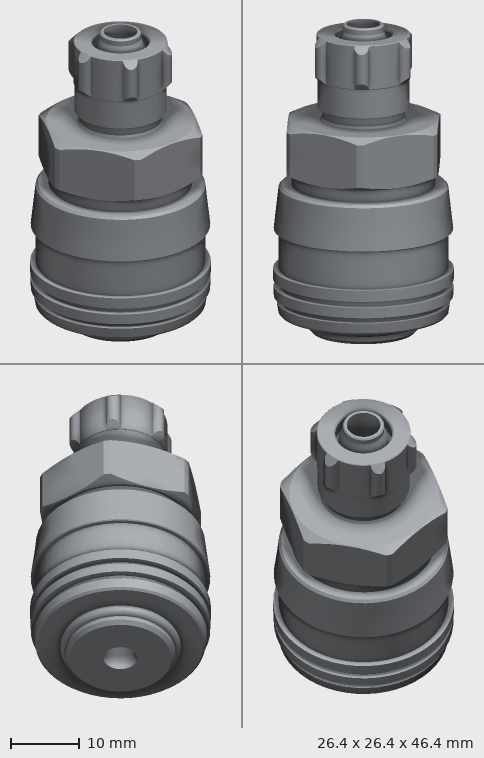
import cadquery as cq

total_height = 46.4
bore_diameter = 4.9

spigot_diameter = 16.0
spigot_bevel = 0.55
bead_diameter = 17.6
bead_bottom = 1.25
bead_widest = 2.0
bead_top_radius = 8.7

body_bottom = 2.7
bottom_ring_bevel = 0.32
bottom_ring_lower_radius = 12.45
bottom_ring_upper_radius = 12.65
bottom_ring_top = 4.5
lower_groove_bottom_radius = 11.95
lower_groove_top_radius = 12.15
middle_ring_bottom = 5.45
middle_ring_top = 6.95
middle_ring_diameter = 26.2
upper_groove_diameter = 24.6
top_ring_bottom = 7.95
top_ring_top = 9.6
top_ring_diameter = 26.4
body_diameter = 24.8

sleeve_bottom = 15.35
sleeve_top = 22.23
sleeve_base_diameter = 26.2
sleeve_shoulder_radius = 12.4
sleeve_top_bevel = 0.35
sleeve_bottom_bevel = 0.15

lower_neck_diameter = 21.0
hex_bottom = 24.15
hex_top = 32.15
hex_across_flats = 22.0
hex_corner_diameter = 24.82
hex_face_diameter = 21.7
hex_bevel_height = 0.8
upper_neck_diameter = 12.0
neck_flare = 0.32

collar_bottom = 33.9
collar_diameter = 13.4
nut_bottom = 38.25
nut_top = 44.9
nut_diameter = 13.7
nut_bevel = 0.1
rib_count = 6
rib_radius = 1.05
rib_outer_radius = 7.9
rib_bevel = 1.1
nut_bore_diameter = 8.3
nut_bore_bevel = 0.25
recess_floor = 42.7

nozzle_radius = 3.0
nozzle_tip_bevel = 0.2
nozzle_cone_top = 45.43
nozzle_cone_bottom = 43.85
nozzle_base_diameter = 7.3


def cylinder(diameter, bottom, top):
    return cq.Workplane("XY").workplane(offset=bottom).circle(diameter / 2).extrude(top - bottom)


def revolved(profile):
    """Close a half profile drawn in (radius, height) and turn it about Z."""
    return profile.close().revolve(360, (0, 0, 0), (0, 1, 0))


def lower_end():
    radius = spigot_diameter / 2
    profile = (
        cq.Workplane("XZ")
        .lineTo(radius - spigot_bevel, 0)
        .lineTo(radius, spigot_bevel)
        .lineTo(radius, bead_bottom)
        .threePointArc((bead_diameter / 2, bead_widest), (bead_top_radius, body_bottom))
        .lineTo(0, body_bottom)
    )
    return revolved(profile)


def gripping_body():
    bottom_ring = (
        cq.Workplane("XZ")
        .moveTo(0, body_bottom)
        .lineTo(bottom_ring_lower_radius - bottom_ring_bevel, body_bottom)
        .lineTo(bottom_ring_lower_radius, body_bottom + bottom_ring_bevel)
        .lineTo(bottom_ring_upper_radius, bottom_ring_top)
        .lineTo(lower_groove_bottom_radius, bottom_ring_top)
        .lineTo(lower_groove_top_radius, middle_ring_bottom)
        .lineTo(0, middle_ring_bottom)
    )
    body = revolved(bottom_ring)
    body = body.union(cylinder(middle_ring_diameter, middle_ring_bottom, middle_ring_top))
    body = body.union(cylinder(upper_groove_diameter, middle_ring_top, top_ring_bottom))
    body = body.union(cylinder(top_ring_diameter, top_ring_bottom, top_ring_top))
    return body.union(cylinder(body_diameter, top_ring_top, sleeve_bottom))


def sleeve():
    base_radius = sleeve_base_diameter / 2
    profile = (
        cq.Workplane("XZ")
        .moveTo(0, sleeve_bottom)
        .lineTo(base_radius - sleeve_bottom_bevel, sleeve_bottom)
        .lineTo(base_radius, sleeve_bottom + sleeve_bottom_bevel)
        .lineTo(sleeve_shoulder_radius, sleeve_top - sleeve_top_bevel)
        .lineTo(sleeve_shoulder_radius - sleeve_top_bevel, sleeve_top)
        .lineTo(0, sleeve_top)
    )
    return revolved(profile)


def hexagon():
    """Hexagon with flats facing +X and -X, and corners turned and bevelled."""
    prism = (
        cq.Workplane("XY")
        .workplane(offset=hex_bottom)
        .polygon(6, hex_across_flats, circumscribed=True)
        .extrude(hex_top - hex_bottom)
    )
    face_radius = hex_face_diameter / 2
    corner_radius = hex_corner_diameter / 2
    envelope = (
        cq.Workplane("XZ")
        .moveTo(0, hex_bottom)
        .lineTo(face_radius, hex_bottom)
        .lineTo(corner_radius, hex_bottom + hex_bevel_height)
        .lineTo(corner_radius, hex_top - hex_bevel_height)
        .lineTo(face_radius, hex_top)
        .lineTo(0, hex_top)
    )
    return prism.intersect(revolved(envelope))


def upper_neck():
    radius = upper_neck_diameter / 2
    profile = (
        cq.Workplane("XZ")
        .moveTo(0, hex_top)
        .lineTo(radius + neck_flare, hex_top)
        .lineTo(radius, hex_top + neck_flare)
        .lineTo(radius, collar_bottom)
        .lineTo(0, collar_bottom)
    )
    return revolved(profile)


def nut():
    body = cylinder(nut_diameter, nut_bottom, nut_top).edges().chamfer(nut_bevel)
    ribs = (
        cq.Workplane("XY")
        .workplane(offset=nut_bottom)
        .polarArray(rib_outer_radius - rib_radius, 90, 360, rib_count)
        .circle(rib_radius)
        .extrude(nut_top - nut_bottom)
    )
    rib_envelope = cylinder(2 * rib_outer_radius, nut_bottom, nut_top).edges().chamfer(rib_bevel)
    body = body.union(ribs.intersect(rib_envelope))
    body = body.union(cylinder(collar_diameter, collar_bottom, nut_bottom))

    bore_radius = nut_bore_diameter / 2
    recess = (
        cq.Workplane("XZ")
        .moveTo(0, recess_floor)
        .lineTo(bore_radius, recess_floor)
        .lineTo(bore_radius, nut_top - nut_bore_bevel)
        .lineTo(bore_radius + nut_bore_bevel, nut_top)
        .lineTo(0, nut_top)
    )
    return body.cut(revolved(recess))


def nozzle():
    base_radius = nozzle_base_diameter / 2
    profile = (
        cq.Workplane("XZ")
        .moveTo(0, recess_floor)
        .lineTo(base_radius, recess_floor)
        .lineTo(base_radius, nozzle_cone_bottom)
        .lineTo(nozzle_radius, nozzle_cone_top)
        .lineTo(nozzle_radius, total_height - nozzle_tip_bevel)
        .lineTo(nozzle_radius - nozzle_tip_bevel, total_height)
        .lineTo(0, total_height)
    )
    return revolved(profile)


result = (
    lower_end()
    .union(gripping_body())
    .union(sleeve())
    .union(cylinder(lower_neck_diameter, sleeve_top, hex_bottom))
    .union(hexagon())
    .union(upper_neck())
    .union(nut())
    .union(nozzle())
    .cut(cylinder(bore_diameter, 0, total_height))
)